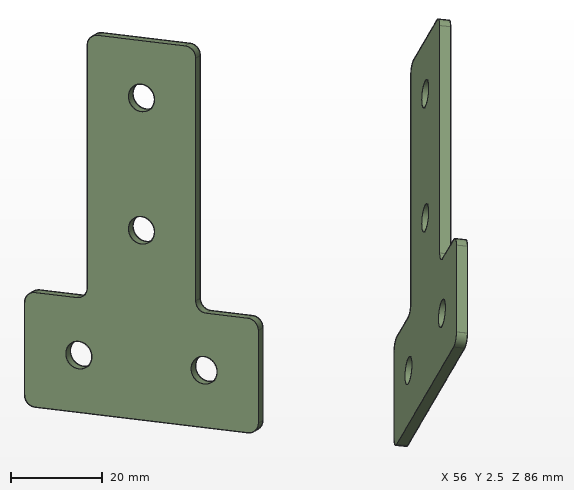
import cadquery as cq

plate_thickness = 2.5
arm_width = 26.0
hole_pitch = 30.0
corner_radius = 2.5
hole_diameter = 6.2

edge_margin = arm_width / 2
base_length = hole_pitch + 2 * edge_margin
plate_height = 2 * hole_pitch + 2 * edge_margin


def bar(width, height):
    """Upright rectangular plate standing on Z = 0, centred on X and Y."""
    return cq.Workplane("XY").box(width, plate_thickness, height, centered=(True, True, False))


def tee_plate():
    """Inverted T plate with every corner of its outline rounded."""
    tee = bar(base_length, arm_width).union(bar(arm_width, plate_height)).clean()
    return tee.edges("|Y").fillet(corner_radius)


def hole_cutters():
    """Cylinders for two holes up the stem and two across the base."""
    centres = [
        (-hole_pitch / 2, edge_margin),
        (hole_pitch / 2, edge_margin),
        (0, edge_margin + hole_pitch),
        (0, edge_margin + 2 * hole_pitch),
    ]
    return (
        cq.Workplane("XZ", origin=(0, plate_thickness / 2, 0))
        .pushPoints(centres)
        .circle(hole_diameter / 2)
        .extrude(plate_thickness)
    )


result = tee_plate().cut(hole_cutters())